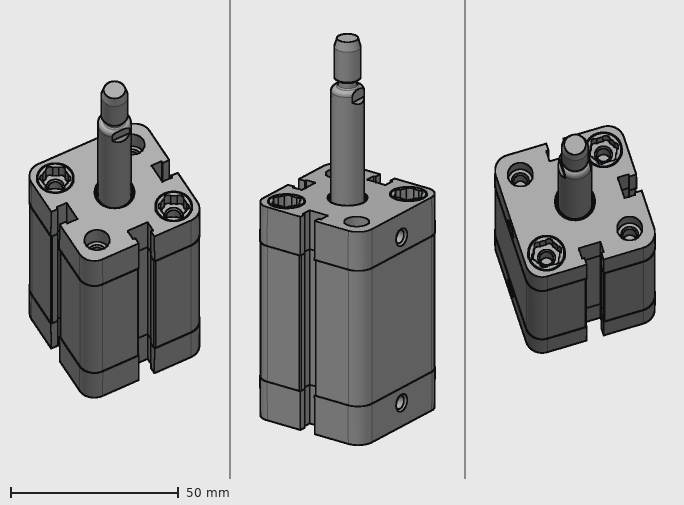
import cadquery as cq
import math

total_height = 121.0
housing_height = 69.2
tube_width = 40.0
cap_width = 40.3
cap_end_width = 40.07
cap_height = 12.6
tube_height = housing_height - 2 * cap_height
corner_radius = 5.0

slot_mouth_width = 5.3
slot_inner_width = 6.8
slot_lip = 2.2
slot_depth = 5.6
slot_edge_chamfer = 0.4
slot_angles = (0, 90, -90)

fastener_offset = 13.0
collar_groove_outer_diameter = 11.1
collar_groove_inner_diameter = 10.48
collar_groove_depth = 3.0
socket_diameter = 8.0
socket_tip_diameter = 9.2
socket_lobe_radius = 1.2
socket_lobe_count = 6
socket_depth = 4.2
plain_hole_diameter = 7.5
plain_hole_depth = 6.0

tap_diameter = 4.13
corner_tap_mouth = 5.2
port_mouth = 5.6
tap_depth = 6.0
port_inset = 7.7

rod_diameter = 10.0
rod_recess_mouth = 12.0
rod_recess_diameter = 11.4
rod_recess_depth = 0.8
rod_clearance_diameter = 10.48
rod_clearance_depth = 3.0
thread_diameter = 8.0
thread_tip_diameter = 6.4
thread_tip_length = 2.8
thread_end = 12.7
thread_flank_slope = 0.75
neck_diameter = 5.8
neck_fillet = 0.4
shoulder_drop = 15.5
shoulder_radius = 1.6
flat_width = 8.0
flat_end = 19.0


def revolved(outline):
    """Solid of revolution about Z from (radius, height) points."""
    return cq.Workplane("XZ").polyline(outline).close().revolve(360, (0, 0, 0), (0, 1, 0))


def tapped_hole(origin, normal, mouth_diameter):
    """Cutter for a countersunk tapped hole that starts at origin and goes against normal."""
    mouth_depth = (mouth_diameter - tap_diameter) / 2
    cutter = revolved([
        (0, 0),
        (mouth_diameter / 2, 0),
        (tap_diameter / 2, -mouth_depth),
        (tap_diameter / 2, -tap_depth),
        (0, -tap_depth),
    ])
    plane = cq.Plane(origin=origin, normal=normal)
    return cq.Workplane(cutter.val().moved(cq.Location(plane)))


def rounded_square(width, radius):
    outline = cq.Sketch().rect(width, width).vertices().fillet(radius)
    return cq.Workplane("XY").placeSketch(outline)


def slot_cutter(height):
    """T-slot opening on the +X side, from Z = 0 up to height."""
    bottom = tube_width / 2 - slot_depth
    centered = (False, True, False)
    inner = cq.Workplane("XY").box(slot_depth - slot_lip, slot_inner_width, height, centered)
    mouth = cq.Workplane("XY").box(cap_width / 2, slot_mouth_width, height, centered)
    return inner.union(mouth).translate((bottom, 0, 0))


def slot_edge_cutter(height):
    """Chamfer along both mouth edges of the T-slot on the +X side."""
    side = tube_width / 2
    half_mouth = slot_mouth_width / 2
    outline = [
        (side - slot_edge_chamfer, -half_mouth),
        (side, -half_mouth - slot_edge_chamfer),
        (side, half_mouth + slot_edge_chamfer),
        (side - slot_edge_chamfer, half_mouth),
    ]
    return cq.Workplane("XY").polyline(outline).close().extrude(height)


def cut_on_slotted_sides(body, cutter):
    """Cut body on the +X, +Y and -Y sides with a cutter made for +X."""
    for angle in slot_angles:
        body = body.cut(cutter.rotate((0, 0, 0), (0, 0, 1), angle))
    return body


def build_plain_cap():
    """Cap with its wide face on Z = 0, drafted towards its free end, with slots and an air port."""
    draft_angle = math.degrees(math.atan2((cap_width - cap_end_width) / 2, cap_height))
    cap_radius = corner_radius + (cap_width - tube_width) / 2
    cap = rounded_square(cap_width, cap_radius).extrude(cap_height, taper=draft_angle)
    cap = cut_on_slotted_sides(cap, slot_cutter(cap_height))
    port = tapped_hole((-cap_width / 2, 0, cap_height - port_inset), (-1, 0, 0), port_mouth)
    return cap.cut(port)


def build_end_cap():
    """Lower cap, turned over about X so that its free end lies on Z = 0."""
    return build_plain_cap().rotate((0, 0, 0), (1, 0, 0), 180).translate((0, 0, cap_height))


def lobed_socket(x, y, top):
    """Cutter for a six-lobed wrench socket with one lobe pointing along +X."""
    face = cq.Workplane("XY").workplane(offset=top).center(x, y)
    socket = face.circle(socket_diameter / 2).extrude(-socket_depth)
    lobe_center_radius = socket_tip_diameter / 2 - socket_lobe_radius
    lobes = face.polarArray(lobe_center_radius, 0, 360, socket_lobe_count)
    return socket.union(lobes.circle(socket_lobe_radius).extrude(-socket_depth))


def build_bearing_cap():
    """Upper cap, with the rod opening and the fastening points in its top face."""
    cap = build_plain_cap().translate((0, 0, housing_height - cap_height))
    top = cq.Workplane("XY").workplane(offset=housing_height)

    for side in (-1, 1):
        x = side * fastener_offset
        y = x
        groove = top.center(x, y).circle(collar_groove_outer_diameter / 2)
        groove = groove.circle(collar_groove_inner_diameter / 2).extrude(-collar_groove_depth)
        thread = tapped_hole((x, y, housing_height - socket_depth), (0, 0, 1), corner_tap_mouth)
        cap = cap.cut(groove).cut(lobed_socket(x, y, housing_height)).cut(thread)

    for side in (-1, 1):
        x = side * fastener_offset
        y = -x
        counterbore = top.center(x, y).circle(plain_hole_diameter / 2).extrude(-plain_hole_depth)
        thread = tapped_hole((x, y, housing_height - plain_hole_depth), (0, 0, 1), corner_tap_mouth)
        cap = cap.cut(counterbore).cut(thread)

    recess_chamfer = (rod_recess_mouth - rod_recess_diameter) / 2
    rod_opening = revolved([
        (0, housing_height),
        (rod_recess_mouth / 2, housing_height),
        (rod_recess_diameter / 2, housing_height - recess_chamfer),
        (rod_recess_diameter / 2, housing_height - rod_recess_depth),
        (rod_clearance_diameter / 2, housing_height - rod_recess_depth),
        (rod_clearance_diameter / 2, housing_height - rod_clearance_depth),
        (rod_diameter / 2, housing_height - rod_clearance_depth),
        (rod_diameter / 2, housing_height - cap_height),
        (0, housing_height - cap_height),
    ])
    return cap.cut(rod_opening)


def build_tube():
    """Profile tube between the caps, bored for the rod."""
    tube = rounded_square(tube_width, corner_radius).extrude(tube_height)
    tube = cut_on_slotted_sides(tube, slot_cutter(tube_height))
    tube = cut_on_slotted_sides(tube, slot_edge_cutter(tube_height))
    bore = cq.Workplane("XY").circle(rod_diameter / 2).extrude(tube_height)
    return tube.cut(bore).translate((0, 0, cap_height))


def build_rod():
    """Rod standing on the end cap, with a rounded shoulder, a neck and a threaded end."""
    rod_radius = rod_diameter / 2
    neck_radius = neck_diameter / 2
    thread_radius = thread_diameter / 2
    shoulder_top = total_height - shoulder_drop
    thread_bottom = total_height - thread_end
    arc_inset = 1 - math.cos(math.radians(45))
    shoulder_arc_middle = (
        rod_radius - shoulder_radius * arc_inset,
        shoulder_top - shoulder_radius * arc_inset,
    )
    neck_arc_middle = (
        neck_radius + neck_fillet * arc_inset,
        shoulder_top + neck_fillet * arc_inset,
    )
    half_section = (
        cq.Workplane("XZ")
        .moveTo(0, cap_height)
        .lineTo(rod_radius, cap_height)
        .lineTo(rod_radius, shoulder_top - shoulder_radius)
        .threePointArc(shoulder_arc_middle, (rod_radius - shoulder_radius, shoulder_top))
        .lineTo(neck_radius + neck_fillet, shoulder_top)
        .threePointArc(neck_arc_middle, (neck_radius, shoulder_top + neck_fillet))
        .lineTo(neck_radius, thread_bottom - (thread_radius - neck_radius) * thread_flank_slope)
        .lineTo(thread_radius, thread_bottom)
        .lineTo(thread_radius, total_height - thread_tip_length)
        .lineTo(thread_tip_diameter / 2, total_height)
        .lineTo(0, total_height)
        .close()
    )
    rod = half_section.revolve(360, (0, 0, 0), (0, 1, 0))

    flat_bottom = total_height - flat_end
    run_out = (rod_diameter - flat_width) / 2
    flat_outline = [
        (flat_width / 2, flat_bottom),
        (rod_radius, flat_bottom - run_out),
        (rod_radius, shoulder_top),
        (flat_width / 2, shoulder_top),
    ]
    flat = cq.Workplane("XZ").polyline(flat_outline).close().extrude(rod_radius, both=True)
    return rod.cut(flat).cut(flat.mirror("YZ"))


end_cap = build_end_cap()
tube = build_tube()
bearing_cap = build_bearing_cap()
rod = build_rod()

result = cq.Compound.makeCompound([end_cap.val(), tube.val(), bearing_cap.val(), rod.val()])